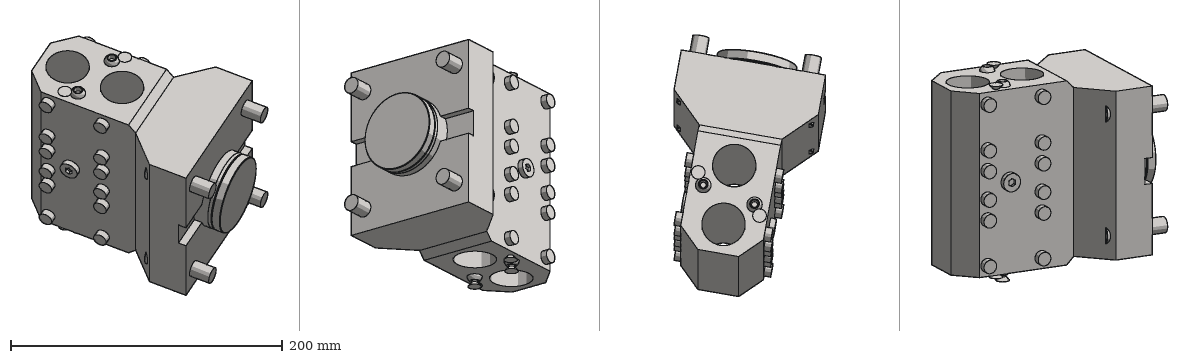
import cadquery as cq
import math

LENGTH = 163.0
EMBED = 1.6

BLOCK_HALF_WIDTH = 31.0
BLOCK_HALF_HEIGHT = 70.7
NOSE_CHAMFER = 15.6
BORE_RADIUS = 16.0
BORE_X = (22.0, 67.0)
BORE_MID_X = sum(BORE_X) / 2
STAGGER_X = 3.9

FLANGE_START_X = 93.9
FLANGE_END_X = 147.2
FLANGE_WIDTH = 108.0
FLANGE_HALF_WIDTH = FLANGE_WIDTH / 2
FLANGE_HALF_HEIGHT = 64.9
SLOPE = FLANGE_HALF_WIDTH - BLOCK_HALF_WIDTH
EDGE_CHAMFER = BLOCK_HALF_HEIGHT - FLANGE_HALF_HEIGHT

NOTCH_DEPTH = 6.2
NOTCH_WIDTH = 19.9

SPIGOT_RADIUS = 29.8
SPIGOT_START_X = FLANGE_END_X - NOTCH_DEPTH - EMBED
SPIGOT_CHAMFER = 0.5
RING_START_X = 152.9
RING_WIDTH = 2.6
RING_STEP = 0.2
RING_RADIUS = SPIGOT_RADIUS - RING_STEP
GROOVE_WIDTH = 0.8
GROOVE_DEPTH = 1.0
GROOVE_RADIUS = SPIGOT_RADIUS - GROOVE_DEPTH

BOLT_RADIUS = 6.2
BOLT_HEAD_RADIUS = 9.1
BOLT_HEAD_X = 111.2
BOLT_HEAD_LENGTH = 13.0
BOLT_HEAD_CHAMFER = 0.5
BOLT_Y = 42.0
BOLT_Z = 46.8

STUD_RADIUS = 5.2
STUD_HEIGHT = 5.2
STUD_Z = (11.0, 26.9, 62.0)

PLUG_RADIUS = 7.0
PLUG_HEIGHT = 4.2
HEX_ACROSS_CORNERS = 6.2
HEX_DEPTH = 2.5

DOME_BASE_RADIUS = 5.7
DOME_TOP_RADIUS = 3.6
DOME_HEIGHT = 3.6
DOME_Y = 19.9
RECESS_TOP_RADIUS = 3.0
RECESS_FLOOR_RADIUS = 2.1
RECESS_DEPTH = 3.3
FLARE_RADIUS = 5.0
FLARE_NECK_RADIUS = 2.3
FLARE_HEIGHT = 3.1
FLARE_OFFSET_X = 8.2
FLARE_OFFSET_Y = 5.2
STEM_RADIUS = 2.5
STEM_TOP = 4.9


def cylinder_x(radius, start, end, y=0, z=0):
    """Cylinder along X between two X positions."""
    return cq.Workplane("YZ", origin=(start, y, z)).circle(radius).extrude(end - start)


def body():
    """Chamfered block and sloped flange, with the cross notch and both bores."""
    block = (
        cq.Workplane("XZ", origin=(0, BLOCK_HALF_WIDTH, 0))
        .moveTo(0, -BLOCK_HALF_HEIGHT)
        .lineTo(FLANGE_START_X - EDGE_CHAMFER, -BLOCK_HALF_HEIGHT)
        .lineTo(FLANGE_START_X, -FLANGE_HALF_HEIGHT)
        .lineTo(FLANGE_START_X, FLANGE_HALF_HEIGHT)
        .lineTo(FLANGE_START_X - EDGE_CHAMFER, BLOCK_HALF_HEIGHT)
        .lineTo(0, BLOCK_HALF_HEIGHT)
        .close()
        .extrude(2 * BLOCK_HALF_WIDTH)
        .edges("|Z and <X")
        .chamfer(NOSE_CHAMFER)
    )
    flange = (
        cq.Workplane("XY", origin=(0, 0, -FLANGE_HALF_HEIGHT))
        .moveTo(FLANGE_START_X, -BLOCK_HALF_WIDTH)
        .lineTo(FLANGE_START_X + SLOPE, -FLANGE_HALF_WIDTH)
        .lineTo(FLANGE_END_X, -FLANGE_HALF_WIDTH)
        .lineTo(FLANGE_END_X, FLANGE_HALF_WIDTH)
        .lineTo(FLANGE_START_X + SLOPE, FLANGE_HALF_WIDTH)
        .lineTo(FLANGE_START_X, BLOCK_HALF_WIDTH)
        .close()
        .extrude(2 * FLANGE_HALF_HEIGHT)
    )
    notch = cq.Workplane("XY", origin=(FLANGE_END_X, 0, 0)).box(
        2 * NOTCH_DEPTH, FLANGE_WIDTH, NOTCH_WIDTH
    )
    bores = (
        cq.Workplane("XY", origin=(0, 0, -BLOCK_HALF_HEIGHT))
        .pushPoints([(x, 0) for x in BORE_X])
        .circle(BORE_RADIUS)
        .extrude(2 * BLOCK_HALF_HEIGHT)
    )
    return block.union(flange).cut(notch).cut(bores)


def spigot():
    """Round spigot with a seal ring, a narrow groove beside it and a chamfered end."""
    ring_end = RING_START_X + RING_WIDTH
    groove_end = ring_end + GROOVE_WIDTH
    return (
        cylinder_x(SPIGOT_RADIUS, SPIGOT_START_X, RING_START_X)
        .union(cylinder_x(RING_RADIUS, RING_START_X, ring_end))
        .union(cylinder_x(GROOVE_RADIUS, ring_end, groove_end))
        .union(cylinder_x(SPIGOT_RADIUS, groove_end, LENGTH).faces(">X").chamfer(SPIGOT_CHAMFER))
    )


def bolt(y, z):
    """Mounting bolt whose head breaks through the sloped side of the flange."""
    head = (
        cylinder_x(BOLT_HEAD_RADIUS, BOLT_HEAD_X, BOLT_HEAD_X + BOLT_HEAD_LENGTH, y, z)
        .faces("<X")
        .chamfer(BOLT_HEAD_CHAMFER)
    )
    return head.union(cylinder_x(BOLT_RADIUS, BOLT_HEAD_X + BOLT_HEAD_LENGTH, LENGTH, y, z))


def side_face(side):
    """Sketch plane on the -Y (side = -1) or +Y (side = 1) face, normal pointing outward.

    Its local axes are X (reversed on the +Y face) and Z.
    """
    plane = cq.Plane(origin=(0, side * BLOCK_HALF_WIDTH, 0), xDir=(-side, 0, 0), normal=(0, side, 0))
    return cq.Workplane(plane)


def studs(side):
    """Two columns of round studs beside the bores."""
    points = [(-side * x, sign * z) for x in BORE_X for z in STUD_Z for sign in (-1, 1)]
    return side_face(side).workplane(offset=-EMBED).pushPoints(points).circle(STUD_RADIUS).extrude(
        EMBED + STUD_HEIGHT
    )


def plug(side):
    """Round plug with a hexagon socket, corners pointing along Z."""
    local_x = -side * (BORE_MID_X + side * STAGGER_X)
    disc = side_face(side).workplane(offset=-EMBED).center(local_x, 0).circle(PLUG_RADIUS).extrude(
        EMBED + PLUG_HEIGHT
    )
    socket = (
        side_face(side)
        .workplane(offset=PLUG_HEIGHT - HEX_DEPTH)
        .center(local_x, 0)
        .transformed(rotate=(0, 0, 90))
        .polygon(6, HEX_ACROSS_CORNERS)
        .extrude(HEX_DEPTH)
    )
    return disc.cut(socket)


def dome():
    """Spherical dome with a flat top, standing on the XY plane."""
    centre_z = (DOME_TOP_RADIUS**2 + DOME_HEIGHT**2 - DOME_BASE_RADIUS**2) / (2 * DOME_HEIGHT)
    sphere_radius = math.hypot(DOME_BASE_RADIUS, centre_z)
    mid_z = DOME_HEIGHT / 2
    mid_radius = math.sqrt(sphere_radius**2 - (mid_z - centre_z) ** 2)
    return (
        cq.Workplane("XZ")
        .moveTo(0, -EMBED)
        .lineTo(DOME_BASE_RADIUS, -EMBED)
        .lineTo(DOME_BASE_RADIUS, 0)
        .threePointArc((mid_radius, mid_z), (DOME_TOP_RADIUS, DOME_HEIGHT))
        .lineTo(0, DOME_HEIGHT)
        .close()
        .revolve(360, (0, 0), (0, 1))
    )


def recessed_dome():
    """Dome with a tapered recess in its flat top."""
    recess = (
        cq.Workplane("XZ")
        .moveTo(0, DOME_HEIGHT)
        .lineTo(RECESS_TOP_RADIUS, DOME_HEIGHT)
        .lineTo(RECESS_FLOOR_RADIUS, DOME_HEIGHT - RECESS_DEPTH)
        .lineTo(0, DOME_HEIGHT - RECESS_DEPTH)
        .close()
        .revolve(360, (0, 0), (0, 1))
    )
    return dome().cut(recess)


def flare(neck_radius, base_z, neck_length):
    """Cone that widens upward from base_z, on a neck that reaches down below it."""
    return (
        cq.Workplane("XZ")
        .moveTo(0, base_z - neck_length)
        .lineTo(neck_radius, base_z - neck_length)
        .lineTo(neck_radius, base_z)
        .lineTo(FLARE_RADIUS, base_z + FLARE_HEIGHT)
        .lineTo(0, base_z + FLARE_HEIGHT)
        .close()
        .revolve(360, (0, 0), (0, 1))
    )


def nozzle_set(nozzle):
    """Two nozzles, each with a separate flared cap, placed on the top face of the block."""
    cap = flare(FLARE_NECK_RADIUS, 0, EMBED)
    parts = cq.Workplane("XY")
    for side in (-1, 1):
        x = BORE_MID_X + side * STAGGER_X
        y = side * DOME_Y
        parts = parts.add(nozzle.translate((x, y, BLOCK_HALF_HEIGHT)))
        cap_place = (x + side * FLARE_OFFSET_X, y + side * FLARE_OFFSET_Y, BLOCK_HALF_HEIGHT)
        parts = parts.add(cap.translate(cap_place))
    return parts.combine()


result = body().union(spigot())
for side in (-1, 1):
    for level in (-1, 1):
        result = result.union(bolt(side * BOLT_Y, level * BOLT_Z))
    result = result.union(studs(side)).union(plug(side))

stemmed_dome = dome().union(flare(STEM_RADIUS, STEM_TOP, STEM_TOP))
result = result.union(nozzle_set(recessed_dome()))
result = result.union(nozzle_set(stemmed_dome).mirror("XY"))